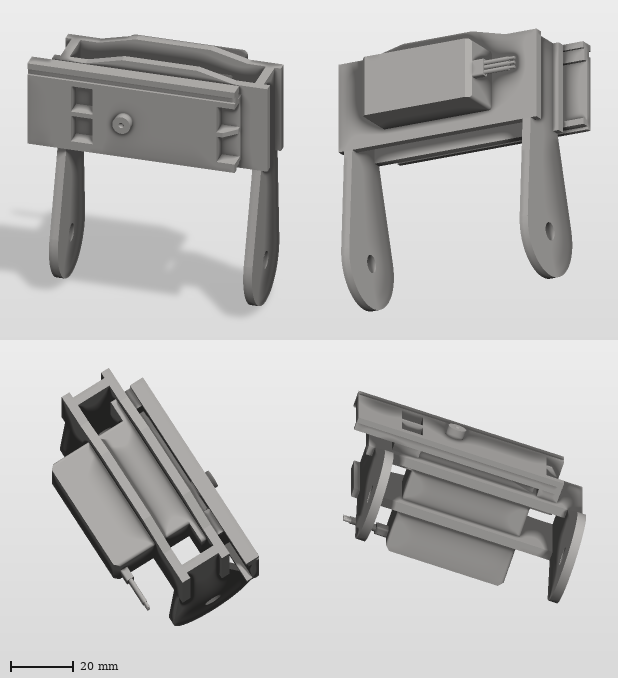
import cadquery as cq
import math

SHEET = 3.0

PLATE_LENGTH = 72.55
PLATE_BOTTOM = 34.95
PLATE_SHOULDER = 64.9
PLATE_TOP = 68.0
HUMP_TOP_LENGTH = 25.2
HUMP_BASE_LENGTH = 50.0
PLATE_GAP = 12.0
PLATE_INNER_Y = PLATE_GAP / 2
PLATE_OUTER_Y = PLATE_INNER_Y + SHEET
AXIS_Z = (PLATE_BOTTOM + PLATE_SHOULDER) / 2

ARM_SPACING = 65.4
ARM_RADIUS = 15.0
PIVOT_RADIUS = 3.0
PIVOT_Y = -4.0
TAB_HEIGHT = 15.1

CASE_LEFT = -19.9
CASE_RIGHT = 20.2
CASE_HEIGHT = 20.0
CASE_BACK = 24.0
CASE_FILLET = 1.0
CASE_CHAMFER = 1.6
FLANGE_LEFT = -27.2
FLANGE_RIGHT = 27.55
FLANGE_THICKNESS = 2.0
FLANGE_FILLET = 1.25
FLANGE_FRONT = -PLATE_INNER_Y
NOSE_LEFT = -19.5
NOSE_RIGHT = 19.25
NOSE_FRONT = -11.45
NOSE_FILLET = 0.7
NOSE_CHAMFER = 1.0
NOSE_SLANT_START = 9.5
NOSE_CORE_STEP = 0.7
SHAFT_X = -9.7
SHAFT_RADIUS = 3.0
SHAFT_END = -19.5
SHAFT_HOLE_RADIUS = 0.9
SHAFT_HOLE_DEPTH = 1.8

CABLE_Y = 21.0
GROMMET_LENGTH = 4.0
GROMMET_WIDTH = 2.65
GROMMET_HEIGHT = 5.65
GROMMET_FILLET = 0.6
WIRE_COUNT = 3
WIRE_PITCH = 1.6
WIRE_RADIUS = 0.75
WIRE_LENGTH = 8.8
CORE_RADIUS = 0.5
CORE_LENGTH = 2.15

RAIL_LEFT = -42.25
RAIL_RIGHT = 27.55
RAIL_FRONT = -16.4
RAIL_TOP = 66.0
RAIL_BOTTOM = 36.85
HEAD_BACK = -11.45
HEAD_BOTTOM = 63.9
GROOVE_BOTTOM = 61.8
GROOVE_DEPTH = 1.0
NECK_BACK = -12.45
LEDGE_BACK = -11.8
LEDGE_BOTTOM = 37.85
FOOT_BACK = -14.6
RECESS_FLOOR = -13.95
RECESS_TOP = AXIS_Z + CASE_HEIGHT / 2
RECESS_BOTTOM = AXIS_Z - CASE_HEIGHT / 2

BLOCK_SPACING = 49.05
FIRST_BLOCK_LEFT = -28.4
BLOCK_LENGTH = 8.9
BLOCK_TOP = 61.6
BLOCK_BOTTOM = 38.4
BLOCK_WALL = 0.8
WINDOW_FLOOR = -10.7
WEB_THICKNESS = 1.6
WEB_CUT = 4.1


def box(x_range, y_range, z_range):
    """Box between two limits on each axis."""
    size = [high - low for low, high in (x_range, y_range, z_range)]
    return cq.Workplane("XY").box(*size, centered=False).translate((x_range[0], y_range[0], z_range[0]))


def around_axis(height):
    """Z limits of something centred on the servo axis height."""
    return (AXIS_Z - height / 2, AXIS_Z + height / 2)


def cylinder_y(x, z, radius, y_front, y_back):
    """Cylinder along Y."""
    return cq.Workplane("XZ", origin=(x, y_back, z)).circle(radius).extrude(y_back - y_front)


def cylinder_x(y, z, radius, x_left, length):
    """Cylinder along X."""
    return cq.Workplane("YZ", origin=(x_left, y, z)).circle(radius).extrude(length)


def servo_case():
    """Main case behind the flange, with rounded long edges and chamfered back corners."""
    case = box((CASE_LEFT, CASE_RIGHT), (FLANGE_FRONT, CASE_BACK), around_axis(CASE_HEIGHT))
    case = case.edges("|Y").fillet(CASE_FILLET)
    corner = [(0, 0), (CASE_CHAMFER, 0), (0, -CASE_CHAMFER)]
    wedge = cq.Workplane("XY").polyline(corner).close().extrude(PLATE_TOP)
    left_wedge = wedge.translate((CASE_LEFT, CASE_BACK, 0))
    right_wedge = wedge.mirror("YZ").translate((CASE_RIGHT, CASE_BACK, 0))
    return case.cut(left_wedge).cut(right_wedge)


def servo_flange():
    y_range = (FLANGE_FRONT, FLANGE_FRONT + FLANGE_THICKNESS)
    flange = box((FLANGE_LEFT, FLANGE_RIGHT), y_range, around_axis(CASE_HEIGHT))
    return flange.edges("|Y").fillet(FLANGE_FILLET)


def servo_nose():
    """Front of the case: a shell slanted at its right end over a slightly lower core."""
    bottom, top = around_axis(CASE_HEIGHT)
    outline = [
        (NOSE_LEFT, FLANGE_FRONT),
        (NOSE_LEFT, NOSE_FRONT),
        (NOSE_SLANT_START, NOSE_FRONT),
        (NOSE_RIGHT, -PLATE_OUTER_Y),
        (NOSE_RIGHT, FLANGE_FRONT),
    ]
    shell = cq.Workplane("XY", origin=(0, 0, bottom)).polyline(outline).close().extrude(top - bottom)
    shell = shell.edges("|Z and <X and <Y").chamfer(NOSE_CHAMFER)
    shell = shell.edges("|Y and <X").fillet(NOSE_FILLET)
    core_z = around_axis(CASE_HEIGHT - 2 * NOSE_CORE_STEP)
    core = box((NOSE_LEFT + NOSE_CHAMFER, NOSE_RIGHT), (NOSE_FRONT, FLANGE_FRONT), core_z)
    return shell.union(core)


def make_servo():
    shaft = cylinder_y(SHAFT_X, AXIS_Z, SHAFT_RADIUS, SHAFT_END, NOSE_FRONT)
    point = cq.Solid.makeCone(
        SHAFT_HOLE_RADIUS, 0, SHAFT_HOLE_DEPTH, cq.Vector(SHAFT_X, SHAFT_END, AXIS_Z), cq.Vector(0, 1, 0)
    )
    servo = servo_case().union(servo_flange()).union(servo_nose()).union(shaft)
    return servo.cut(cq.Workplane(point))


GROMMET_LEFT = CASE_LEFT - GROMMET_LENGTH


def make_grommet():
    y_range = (CABLE_Y - GROMMET_WIDTH / 2, CABLE_Y + GROMMET_WIDTH / 2)
    grommet = box((GROMMET_LEFT, CASE_LEFT), y_range, around_axis(GROMMET_HEIGHT))
    return grommet.edges("|X").fillet(GROMMET_FILLET)


def make_wire(z):
    """Insulated wire with a bare core at its free end."""
    wire_left = GROMMET_LEFT - WIRE_LENGTH
    insulation = cylinder_x(CABLE_Y, z, WIRE_RADIUS, wire_left, WIRE_LENGTH)
    core = cylinder_x(CABLE_Y, z, CORE_RADIUS, wire_left - CORE_LENGTH, CORE_LENGTH)
    return insulation.union(core)


def tangent_point(y, z, side):
    """Point where the line from (y, z) touches the arm's round end; side is +1 or -1 along Y."""
    distance = math.hypot(y - PIVOT_Y, z)
    angle = math.atan2(z, y - PIVOT_Y) - side * math.acos(ARM_RADIUS / distance)
    return (PIVOT_Y + ARM_RADIUS * math.cos(angle), ARM_RADIUS * math.sin(angle))


def make_arm(x_middle):
    """Upright between the plates with tabs into both, tapering out to a round pivot end."""
    x_range = (x_middle - SHEET / 2, x_middle + SHEET / 2)
    blade = (
        cq.Workplane("YZ", origin=(x_range[0], 0, 0))
        .moveTo(-PLATE_OUTER_Y, PLATE_BOTTOM)
        .lineTo(*tangent_point(-PLATE_OUTER_Y, PLATE_BOTTOM, -1))
        .threePointArc((PIVOT_Y, -ARM_RADIUS), tangent_point(PLATE_OUTER_Y, PLATE_BOTTOM, 1))
        .lineTo(PLATE_OUTER_Y, PLATE_BOTTOM)
        .close()
        .extrude(SHEET)
    )
    upright = box(x_range, (-PLATE_INNER_Y, PLATE_INNER_Y), (PLATE_BOTTOM, PLATE_SHOULDER))
    tabs = box(x_range, (-PLATE_OUTER_Y, PLATE_OUTER_Y), around_axis(TAB_HEIGHT))
    pivot_hole = cylinder_x(PIVOT_Y, 0, PIVOT_RADIUS, x_range[0], SHEET)
    return blade.union(upright).union(tabs).cut(pivot_hole)


def make_plate(y_back, fitted_bodies):
    """Plate with a raised middle, opened to fit the bodies that pass through it."""
    half = PLATE_LENGTH / 2
    half_base = HUMP_BASE_LENGTH / 2
    half_top = HUMP_TOP_LENGTH / 2
    outline = [
        (-half, PLATE_BOTTOM),
        (half, PLATE_BOTTOM),
        (half, PLATE_SHOULDER),
        (half_base, PLATE_SHOULDER),
        (half_top, PLATE_TOP),
        (-half_top, PLATE_TOP),
        (-half_base, PLATE_SHOULDER),
        (-half, PLATE_SHOULDER),
    ]
    plate = cq.Workplane("XZ", origin=(0, y_back, 0)).polyline(outline).close().extrude(SHEET)
    for body in fitted_bodies:
        plate = plate.cut(body)
    return plate


def rail_bar():
    """Long bar with a grooved head, a recess in the back and a stepped foot."""
    groove_back = RAIL_FRONT + GROOVE_DEPTH
    profile = [
        (RAIL_FRONT, RAIL_TOP),
        (HEAD_BACK, RAIL_TOP),
        (HEAD_BACK, HEAD_BOTTOM),
        (NECK_BACK, HEAD_BOTTOM),
        (NECK_BACK, RECESS_TOP),
        (RECESS_FLOOR, RECESS_TOP),
        (RECESS_FLOOR, RECESS_BOTTOM),
        (LEDGE_BACK, RECESS_BOTTOM),
        (LEDGE_BACK, LEDGE_BOTTOM),
        (FOOT_BACK, LEDGE_BOTTOM),
        (FOOT_BACK, RAIL_BOTTOM),
        (RAIL_FRONT, RAIL_BOTTOM),
        (RAIL_FRONT, GROOVE_BOTTOM),
        (groove_back, GROOVE_BOTTOM),
        (groove_back, HEAD_BOTTOM),
        (RAIL_FRONT, HEAD_BOTTOM),
    ]
    bar = cq.Workplane("YZ", origin=(RAIL_LEFT, 0, 0)).polyline(profile).close()
    return bar.extrude(RAIL_RIGHT - RAIL_LEFT)


def make_rail():
    rail = rail_bar()
    windows = [
        (RECESS_BOTTOM, AXIS_Z - WEB_THICKNESS / 2),
        (AXIS_Z + WEB_THICKNESS / 2, RECESS_TOP),
    ]
    for left in (FIRST_BLOCK_LEFT, FIRST_BLOCK_LEFT + BLOCK_SPACING):
        block_right = min(left + BLOCK_LENGTH, RAIL_RIGHT)
        rail = rail.union(box((left, block_right), (RECESS_FLOOR, -PLATE_OUTER_Y), (BLOCK_BOTTOM, BLOCK_TOP)))
        window_x = (left + BLOCK_WALL, left + BLOCK_LENGTH - BLOCK_WALL)
        for window_z in windows:
            rail = rail.cut(box(window_x, (RAIL_FRONT, WINDOW_FLOOR), window_z))

    web_corner = [(0, 0), (-WEB_CUT, 0), (0, WEB_CUT)]
    web_cut = (
        cq.Workplane("XY", origin=(RAIL_RIGHT, RAIL_FRONT, AXIS_Z - WEB_THICKNESS / 2))
        .polyline(web_corner)
        .close()
        .extrude(WEB_THICKNESS)
    )
    shaft_hole = cylinder_y(SHAFT_X, AXIS_Z, SHAFT_RADIUS, RAIL_FRONT, RECESS_FLOOR)
    return rail.cut(web_cut).cut(shaft_hole)


servo = make_servo()
grommet = make_grommet()
wires = [make_wire(AXIS_Z + (i - (WIRE_COUNT - 1) / 2) * WIRE_PITCH) for i in range(WIRE_COUNT)]
arms = [make_arm(side * ARM_SPACING / 2) for side in (-1, 1)]
plates = [make_plate(y_back, [servo, *arms]) for y_back in (-PLATE_INNER_Y, PLATE_OUTER_Y)]
rail = make_rail()

result = cq.Compound.makeCompound(
    [body.val() for body in (servo, grommet, *wires, *arms, *plates, rail)]
)